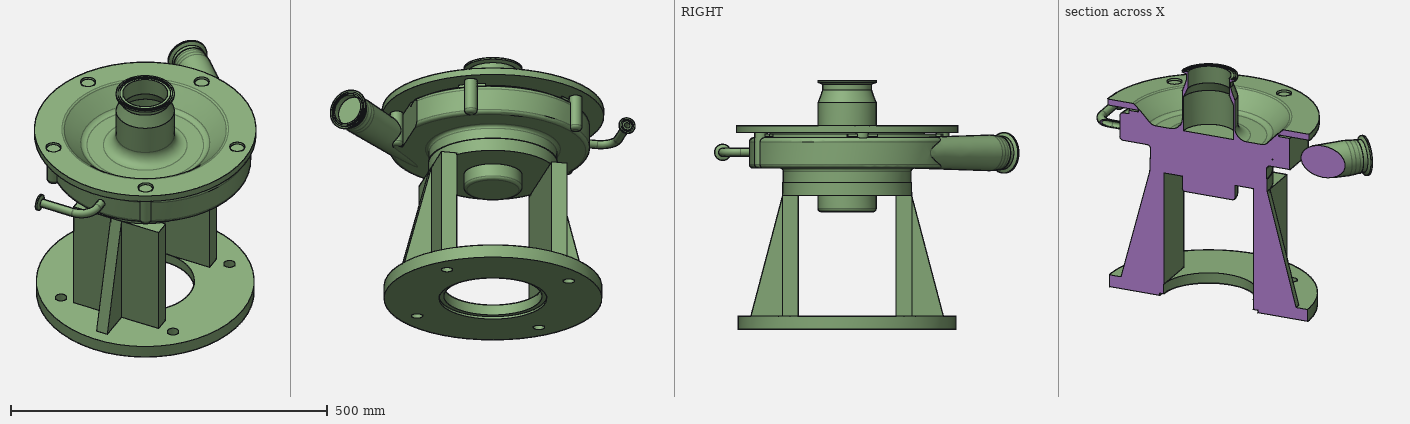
import cadquery as cq
import math

quarter_arc_inset = 1 - math.sqrt(0.5)

base_thickness = 21
leg_height = 190
ring_thickness = 21
neck_height = 22.5
casing_height = 48
plate_underside_gap = 8
plate_thickness = 11
nozzle_top_z = 392.5

base_top_z = base_thickness
ring_bottom_z = base_top_z + leg_height
ring_top_z = ring_bottom_z + ring_thickness
casing_bottom_z = ring_top_z + neck_height
casing_mid_z = casing_bottom_z + casing_height / 2
casing_top_z = casing_bottom_z + casing_height
plate_bottom_z = casing_top_z + plate_underside_gap
plate_top_z = plate_bottom_z + plate_thickness

base_radius = 172
base_hole_radius = 77.5
base_recess_radius = 85
base_recess_depth = 4
base_bolt_circle_radius = 140
base_bolt_count = 4
base_bolt_start_angle = 45
base_bolt_radius = 9

leg_width = 150
leg_thickness = 25
leg_outer_y = 102
rib_thickness = 19
rib_foot_y = 152

ring_radius = leg_outer_y
neck_radius = 101
neck_fillet = 5.5
hub_radius = 46
hub_drop = 25.5
hub_edge_fillet = 5

casing_radius = 158
casing_center_x = 8
casing_center_y = 3.6
casing_bottom_fillet = 6
casing_top_fillet = 7
tongue_flat_y = 141
tongue_cut_width = casing_radius
cover_radius = 142
cover_height = 6
cover_pad_radius = 24
cover_pad_thickness = 4.5
cover_pad_margin = 8

boss_count = 5
boss_start_angle = 9
boss_circle_radius = 152.5
boss_radius = 10.2
boss_recess_radius = 12
boss_recess_depth = 3
boss_recess_floor_radius = 11

plate_radius = 175
dish_edge_radius = 131.5
dish_wall_radius = 122
dish_lip_blend = 5
dish_flat_radius = 92
dish_flat_blend = 14
dish_wall_angle = math.radians(45)
dish_cone_bottom_radius = dish_flat_radius + dish_flat_blend * math.sin(dish_wall_angle)

nozzle_radius = 46
nozzle_root_blend = 20
nozzle_shoulder_z = 357.7
nozzle_neck_z = 378
nozzle_neck_radius = 38.6
nozzle_bore_radius = 35.5
nozzle_bore_straight = 28.6
nozzle_bore_cone_length = 16
nozzle_chamber_radius = 43
nozzle_rim_radius = 46

rim_thickness = 2.9
rim_taper_length = 2.9

discharge_angle = 135
discharge_offset = 139.8
discharge_length = 211.8
discharge_rim_radius = 32
discharge_neck_radius = 26.3
discharge_neck_length = 13.2
discharge_sleeve_radius = 27
discharge_sleeve_length = 5.4
discharge_flare_length = 7.6
discharge_flare_radius = 27.9
discharge_mouth_length = 7
discharge_mouth_radius = 28.3
discharge_inner_end_radius = 24
discharge_bore_radius = 24
discharge_bore_depth = 12

drain_z = 279.4
drain_radius = 6.5
drain_bore_radius = 4.5
drain_bend_radius = 28
drain_run_y = -196.4
drain_inner_end_y = -102
drain_end_x = -89
drain_rim_radius = 12.9
drain_rim_thickness = 3
drain_rim_taper = 2.5

groove_depth = 1
nozzle_groove_radii = (40.2, 43.1)
discharge_groove_radii = (26.5, 29)
drain_groove_radii = (7.8, 10)


def disc(radius, bottom_z, top_z, x=0, y=0):
    """Upright cylinder between two heights."""
    return cq.Workplane("XY", origin=(x, y, bottom_z)).circle(radius).extrude(top_z - bottom_z)


def polar_points(radius, count, start_angle):
    """Evenly spaced points on a circle about the pump axis."""
    angles = [math.radians(start_angle + i * 360 / count) for i in range(count)]
    return [(radius * math.cos(a), radius * math.sin(a)) for a in angles]


def revolve_port(profile):
    """Turn a closed (radius, height) outline about the Z axis."""
    return cq.Workplane("XZ").polyline(profile).close().revolve(360, (0, 0, 0), (0, 1, 0))


def groove_ring(radii, face_z):
    """Ring-shaped cutter that sinks a gasket groove into a face at face_z."""
    inner, outer = radii
    return disc(outer, face_z - groove_depth, face_z).cut(disc(inner, face_z - groove_depth, face_z))


def make_base():
    """Base flange with a central opening, recessed from below, and four bolt holes."""
    base = disc(base_radius, 0, base_top_z)
    base = base.cut(disc(base_hole_radius, 0, base_top_z))
    base = base.cut(disc(base_recess_radius, 0, base_recess_depth))
    for x, y in polar_points(base_bolt_circle_radius, base_bolt_count, base_bolt_start_angle):
        base = base.cut(disc(base_bolt_radius, 0, base_top_z, x, y))
    return base


def make_leg(side):
    """One upright leg with its outer gusset rib; side is +1 or -1 along Y."""
    leg_center_y = side * (leg_outer_y - leg_thickness / 2)
    leg = (
        cq.Workplane("XY", origin=(0, leg_center_y, base_top_z))
        .rect(leg_width, leg_thickness)
        .extrude(leg_height)
    )
    rib = (
        cq.Workplane("YZ", origin=(-rib_thickness / 2, 0, 0))
        .moveTo(leg_center_y, base_top_z)
        .lineTo(side * rib_foot_y, base_top_z)
        .lineTo(side * leg_outer_y, ring_bottom_z)
        .lineTo(leg_center_y, ring_bottom_z)
        .close()
        .extrude(rib_thickness)
    )
    return leg.union(rib)


def make_ring_and_hub():
    """Support ring, filleted neck above it and the round hub hanging below."""
    blend_middle = neck_fillet * quarter_arc_inset
    neck = (
        cq.Workplane("XZ")
        .moveTo(0, ring_top_z)
        .lineTo(neck_radius, ring_top_z)
        .lineTo(neck_radius, casing_bottom_z - neck_fillet)
        .threePointArc(
            (neck_radius + blend_middle, casing_bottom_z - blend_middle),
            (neck_radius + neck_fillet, casing_bottom_z),
        )
        .lineTo(0, casing_bottom_z)
        .close()
        .revolve(360, (0, 0, 0), (0, 1, 0))
    )
    hub = disc(hub_radius, ring_bottom_z - hub_drop, ring_top_z).faces("<Z").edges().fillet(hub_edge_fillet)
    return disc(ring_radius, ring_bottom_z, ring_top_z).union(neck).union(hub)


def tongue_relief(top_z):
    """Cutter for the flat beside the discharge pipe; it ends at the axis of the nearest boss."""
    nearest_boss_angle = math.radians(boss_start_angle + 360 / boss_count)
    end_x = boss_circle_radius * math.cos(nearest_boss_angle)
    return (
        cq.Workplane("XY", origin=(end_x, tongue_flat_y, casing_bottom_z))
        .rect(-tongue_cut_width, tongue_cut_width, centered=False)
        .extrude(top_z - casing_bottom_z)
    )


def make_casing():
    """Round casing with its cover, boss pads and clamping bosses, hollow where the dish sits."""
    center = (casing_center_x, casing_center_y)
    casing = disc(casing_radius, casing_bottom_z, casing_top_z, *center)
    casing = casing.faces("<Z").edges().fillet(casing_bottom_fillet)
    casing = casing.faces(">Z").edges().fillet(casing_top_fillet)
    cover_top_z = casing_top_z + cover_height
    casing = casing.union(disc(cover_radius, casing_mid_z, cover_top_z, *center))
    pad_limit = disc(casing_radius - cover_pad_margin, casing_mid_z, cover_top_z, *center)
    for x, y in polar_points(boss_circle_radius, boss_count, boss_start_angle):
        pad = disc(cover_pad_radius, cover_top_z - cover_pad_thickness, cover_top_z, x, y)
        casing = casing.union(pad.intersect(pad_limit))
    casing = casing.cut(tongue_relief(cover_top_z))
    for x, y in polar_points(boss_circle_radius, boss_count, boss_start_angle):
        boss = disc(boss_radius, casing_bottom_z, plate_bottom_z, x, y)
        casing = casing.union(boss.faces("<Z").edges().fillet(casing_bottom_fillet))
    return casing.cut(disc(dish_wall_radius, casing_mid_z, cover_top_z))


def make_plate_and_nozzle():
    """Dished top plate and the inlet nozzle, turned as one body."""
    sin_wall = math.sin(dish_wall_angle)
    cos_wall = math.cos(dish_wall_angle)
    sin_half = math.sin(dish_wall_angle / 2)
    cos_half = math.cos(dish_wall_angle / 2)

    lip_end_r = dish_edge_radius - dish_lip_blend * sin_wall
    lip_end_z = plate_top_z - dish_lip_blend * (1 - cos_wall)
    lip_middle = (
        dish_edge_radius - dish_lip_blend * sin_half,
        plate_top_z - dish_lip_blend * (1 - cos_half),
    )
    cone_end_z = lip_end_z - (lip_end_r - dish_cone_bottom_radius) * math.tan(dish_wall_angle)
    flat_z = cone_end_z - dish_flat_blend * (1 - cos_wall)
    flat_middle = (
        dish_flat_radius + dish_flat_blend * sin_half,
        flat_z + dish_flat_blend * (1 - cos_half),
    )
    root_middle = nozzle_root_blend * quarter_arc_inset
    body = (
        cq.Workplane("XZ")
        .moveTo(0, casing_mid_z)
        .lineTo(dish_wall_radius, casing_mid_z)
        .lineTo(dish_wall_radius, plate_bottom_z)
        .lineTo(plate_radius, plate_bottom_z)
        .lineTo(plate_radius, plate_top_z)
        .lineTo(dish_edge_radius, plate_top_z)
        .threePointArc(lip_middle, (lip_end_r, lip_end_z))
        .lineTo(dish_cone_bottom_radius, cone_end_z)
        .threePointArc(flat_middle, (dish_flat_radius, flat_z))
        .lineTo(nozzle_radius + nozzle_root_blend, flat_z)
        .threePointArc(
            (nozzle_radius + root_middle, flat_z + root_middle),
            (nozzle_radius, flat_z + nozzle_root_blend),
        )
        .lineTo(nozzle_radius, nozzle_shoulder_z)
        .lineTo(nozzle_neck_radius, nozzle_neck_z)
        .lineTo(nozzle_neck_radius, nozzle_top_z - rim_thickness - rim_taper_length)
        .lineTo(nozzle_rim_radius, nozzle_top_z - rim_thickness)
        .lineTo(nozzle_rim_radius, nozzle_top_z)
        .lineTo(0, nozzle_top_z)
        .close()
        .revolve(360, (0, 0, 0), (0, 1, 0))
    )
    for x, y in polar_points(boss_circle_radius, boss_count, boss_start_angle):
        recess_floor_z = plate_top_z - boss_recess_depth
        recess = (
            cq.Workplane("XY", origin=(x, y, recess_floor_z))
            .circle(boss_recess_floor_radius)
            .workplane(offset=boss_recess_depth)
            .circle(boss_recess_radius)
            .loft()
        )
        body = body.cut(recess)
    return body, flat_z


def nozzle_bore(floor_z):
    """Cutter for the inlet: a straight mouth that widens into a round chamber."""
    cone_top_z = nozzle_top_z - nozzle_bore_straight
    cone_bottom_z = cone_top_z - nozzle_bore_cone_length
    return revolve_port([
        (0, nozzle_top_z),
        (nozzle_bore_radius, nozzle_top_z),
        (nozzle_bore_radius, cone_top_z),
        (nozzle_chamber_radius, cone_bottom_z),
        (nozzle_chamber_radius, floor_z),
        (0, floor_z),
    ])


def make_discharge():
    """Tapered discharge pipe, turned about Z and then laid along its direction."""
    length = discharge_length
    rim_under = length - rim_thickness
    neck_end = length - discharge_neck_length
    sleeve_end = neck_end - discharge_sleeve_length
    flare_end = sleeve_end - discharge_flare_length
    mouth_end = flare_end - discharge_mouth_length
    pipe = revolve_port([
        (0, 0),
        (discharge_inner_end_radius, 0),
        (discharge_mouth_radius, mouth_end),
        (discharge_flare_radius, flare_end),
        (discharge_sleeve_radius, sleeve_end),
        (discharge_sleeve_radius, neck_end),
        (discharge_neck_radius, neck_end),
        (discharge_neck_radius, rim_under - rim_taper_length),
        (discharge_rim_radius, rim_under),
        (discharge_rim_radius, length),
        (0, length),
    ])
    pipe = pipe.cut(disc(discharge_bore_radius, length - discharge_bore_depth, length))
    pipe = pipe.cut(groove_ring(discharge_groove_radii, length))
    return (
        pipe.rotate((0, 0, 0), (0, 1, 0), 90)
        .translate((0, -discharge_offset, casing_mid_z))
        .rotate((0, 0, 0), (0, 0, 1), discharge_angle)
    )


def drain_sweep(radius):
    """Round bar along the drain path, from inside the casing to the clamp rim."""
    bend_start_y = drain_run_y + drain_bend_radius
    bend_middle = drain_bend_radius * quarter_arc_inset
    path = (
        cq.Workplane("XY", origin=(0, 0, drain_z))
        .moveTo(0, drain_inner_end_y)
        .lineTo(0, bend_start_y)
        .threePointArc(
            (-bend_middle, drain_run_y + bend_middle),
            (-drain_bend_radius, drain_run_y),
        )
        .lineTo(drain_end_x, drain_run_y)
    )
    return cq.Workplane("XZ", origin=(0, drain_inner_end_y, drain_z)).circle(radius).sweep(path)


def make_drain():
    """Drain pipe with its small clamp rim, bored as far as the casing wall."""
    rim_under = drain_rim_thickness + drain_rim_taper
    rim = revolve_port([
        (0, 0),
        (drain_radius, 0),
        (drain_rim_radius, drain_rim_taper),
        (drain_rim_radius, rim_under),
        (0, rim_under),
    ])
    rim = rim.cut(groove_ring(drain_groove_radii, rim_under))
    rim = rim.rotate((0, 0, 0), (0, 1, 0), -90).translate((drain_end_x + rim_under, drain_run_y, drain_z))
    return drain_sweep(drain_radius).union(rim).cut(drain_sweep(drain_bore_radius))


plate_and_nozzle, dish_flat_z = make_plate_and_nozzle()
result = (
    make_base()
    .union(make_leg(1))
    .union(make_leg(-1))
    .union(make_ring_and_hub())
    .union(make_casing())
    .union(plate_and_nozzle)
    .union(make_discharge())
    .union(make_drain())
    .cut(nozzle_bore(dish_flat_z))
    .cut(groove_ring(nozzle_groove_radii, nozzle_top_z))
)